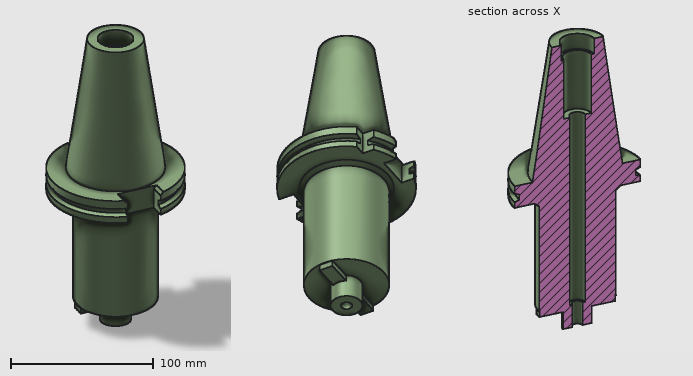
import cadquery as cq

total_height = 224.8
taper_length = 101.5
gauge_land = 1.8
flange_thickness = 17.5
spigot_length = 18.2
flange_top = total_height - taper_length - gauge_land
flange_bottom = flange_top - flange_thickness
body_bottom = spigot_length

taper_top_radius = 20.0
taper_base_radius = 34.8
flange_radius = 48.8
body_diameter = 60.0
body_radius = body_diameter / 2
spigot_diameter = 22.3
spigot_radius = spigot_diameter / 2

upper_rim = 6.3
lower_rim = 4.7
groove_depth = 3.5
groove_flank = 1.3
relief_height = 2.7
relief_step = 3.4

slot_width = 25.5
slot_chamfer_width = 2.5
slot_chamfer_height = 2.0
slot_floor_left = 37.3
slot_floor_right = 35.5
notch_corner = 30.0

key_length = 58.7
key_width = 10.3
key_height = 4.7

entry_radius = 12.5
entry_depth = 12.1
thread_radius = 10.5
thread_depth = 58.5
coolant_radius = 5.8
outlet_diameter = 7.9
outlet_radius = outlet_diameter / 2


def turned_body():
    """Revolve the outer profile about Z."""
    groove_radius = flange_radius - groove_depth
    groove_top = flange_top - upper_rim
    groove_bottom = flange_bottom + lower_rim
    profile = [
        (0, 0),
        (spigot_radius, 0),
        (spigot_radius, body_bottom),
        (body_radius, body_bottom),
        (body_radius, flange_bottom - relief_height),
        (body_radius + relief_step, flange_bottom),
        (flange_radius, flange_bottom),
        (flange_radius, groove_bottom),
        (groove_radius, groove_bottom + groove_flank),
        (groove_radius, groove_top - groove_flank),
        (flange_radius, groove_top),
        (flange_radius, flange_top),
        (taper_base_radius, flange_top),
        (taper_base_radius, flange_top + gauge_land),
        (taper_top_radius, total_height),
        (0, total_height),
    ]
    return cq.Workplane("XZ").polyline(profile).close().revolve(360, (0, 0), (0, 1))


def flange_slot(side, floor):
    """Slot cutter with chamfered upper edges; side is -1 for -X, +1 for +X."""
    half = slot_width / 2
    wide = half + slot_chamfer_width
    section = [
        (-half, flange_bottom),
        (half, flange_bottom),
        (half, flange_top - slot_chamfer_height),
        (wide, flange_top),
        (-wide, flange_top),
        (-half, flange_top - slot_chamfer_height),
    ]
    plane = cq.Workplane("YZ", origin=(side * floor, 0, 0))
    return plane.polyline(section).close().extrude(side * (flange_radius - floor))


def orientation_notch():
    """Square corner cut through the flange at -X, +Y."""
    size = flange_radius - notch_corner
    return (
        cq.Workplane("XY", origin=(-notch_corner, notch_corner, flange_bottom))
        .rect(-size, size, centered=False)
        .extrude(flange_thickness)
    )


def drive_keys():
    """Bar across the spigot, leaving one key on each side of it."""
    return (
        cq.Workplane("XY", origin=(0, 0, body_bottom - key_height))
        .rect(key_width, key_length)
        .extrude(key_height)
    )


def drill(radius, depth):
    """Round cutter going down from the small end of the taper."""
    return cq.Workplane("XY", origin=(0, 0, total_height)).circle(radius).extrude(-depth)


result = turned_body().union(drive_keys())
result = result.cut(flange_slot(-1, slot_floor_left))
result = result.cut(flange_slot(1, slot_floor_right))
result = result.cut(orientation_notch())

bores = [
    (entry_radius, entry_depth),
    (thread_radius, thread_depth),
    (coolant_radius, total_height - body_bottom),
    (outlet_radius, total_height),
]
for radius, depth in bores:
    result = result.cut(drill(radius, depth))